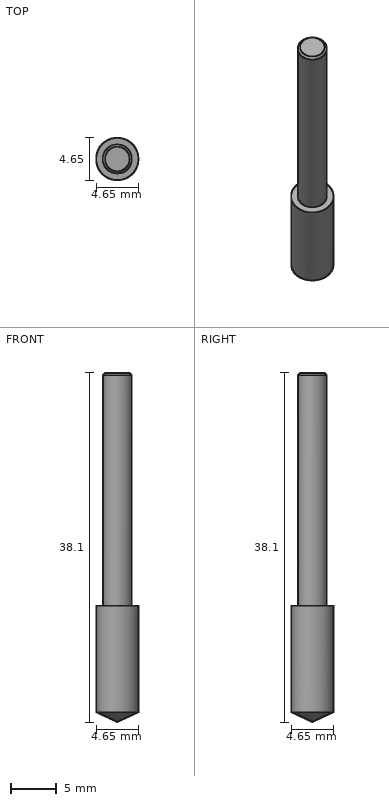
import cadquery as cq
import math

overall_length = 38.1
tip_diameter = 4.65
tip_length = 12.7
point_angle = 130.0
shank_diameter = 3.175
shank_chamfer = 0.25

tip_radius = tip_diameter / 2
point_height = tip_radius / math.tan(math.radians(point_angle / 2))
shank_length = overall_length - tip_length
bottom_z = 0.0
shoulder_z = bottom_z + tip_length


def make_tip():
    """Solid cylinder with a conical drill point, revolved about Z."""
    half_profile = (
        cq.Workplane("XZ")
        .moveTo(0, bottom_z)
        .lineTo(tip_radius, bottom_z + point_height)
        .lineTo(tip_radius, shoulder_z)
        .lineTo(0, shoulder_z)
        .close()
    )
    return half_profile.revolve(360, (0, 0, 0), (0, 1, 0))


def make_shank():
    """Plain round shank standing on the tip's flat top, chamfered at its free end."""
    return (
        cq.Workplane("XY", origin=(0, 0, shoulder_z))
        .circle(shank_diameter / 2)
        .extrude(shank_length)
        .faces(">Z")
        .chamfer(shank_chamfer)
    )


tip = make_tip()
shank = make_shank()

result = cq.Compound.makeCompound([tip.val(), shank.val()])